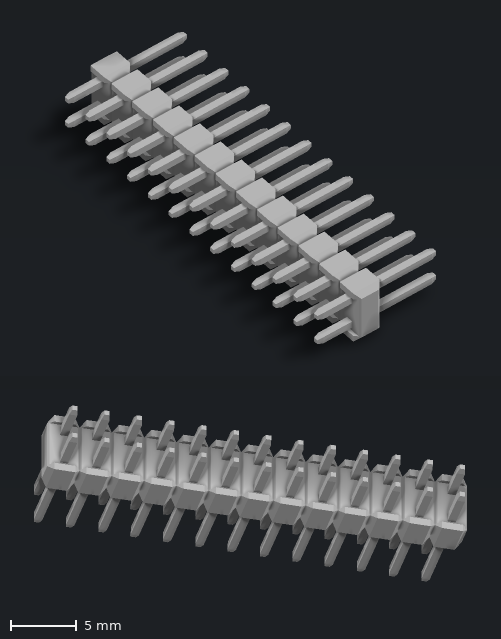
import cadquery as cq

position_count = 13
pitch = 2.54
row_offset = pitch / 2

block_depth = 2.54
block_height = 5.04
end_chamfer_inset = 0.45
end_chamfer_drop = 0.5
recess_depth = 0.3
recess_height = 3.84

pin_width = 0.64
tip_width = 0.4
tip_length = 0.5
front_pin_length = 3.0
back_pin_length = 6.0

block_front = -block_depth / 2
block_back = block_depth / 2
pin_front = block_front - front_pin_length
pin_back = block_back + back_pin_length


def make_block_half(direction):
    """Half of a block, narrowing on all four sides towards its outer X face."""
    half_width = pitch / 2
    straight_width = half_width - end_chamfer_inset
    core = cq.Workplane("YZ").rect(block_depth, block_height).extrude(direction * straight_width)
    taper = (
        cq.Workplane("YZ", origin=(direction * straight_width, 0, 0))
        .rect(block_depth, block_height)
        .workplane(offset=direction * end_chamfer_inset)
        .rect(block_depth - 2 * end_chamfer_inset, block_height - 2 * end_chamfer_drop)
        .loft(ruled=True)
    )
    return core.union(taper)


def make_block():
    """One insulator block with a shallow recess across its front face."""
    recess = cq.Workplane("XY").box(pitch, recess_depth, recess_height)
    recess = recess.translate((0, block_front + recess_depth / 2, 0))
    return make_block_half(1).union(make_block_half(-1)).cut(recess)


def make_tip(base_y, direction):
    """Tapered pin tip running from base_y along Y in the given direction."""
    return (
        cq.Workplane("XZ", origin=(0, base_y, 0))
        .rect(pin_width, pin_width)
        .workplane(offset=-direction * tip_length)
        .rect(tip_width, tip_width)
        .loft(ruled=True)
    )


def make_pin():
    """A square pin, tapered at both ends, centred on the Y axis line."""
    shaft_front = pin_front + tip_length
    shaft_back = pin_back - tip_length
    shaft = (
        cq.Workplane("XZ", origin=(0, shaft_front, 0))
        .rect(pin_width, pin_width)
        .extrude(shaft_front - shaft_back)
    )
    return shaft.union(make_tip(shaft_front, -1)).union(make_tip(shaft_back, 1))


def make_position():
    """One block with its upper and lower pins."""
    pin = make_pin()
    position = make_block()
    for z in (-row_offset, row_offset):
        position = position.union(pin.translate((0, 0, z)))
    return position


position = make_position()
first_x = -(position_count - 1) * pitch / 2

result = position.translate((first_x, 0, 0))
for index in range(1, position_count):
    result = result.union(position.translate((first_x + index * pitch, 0, 0)))